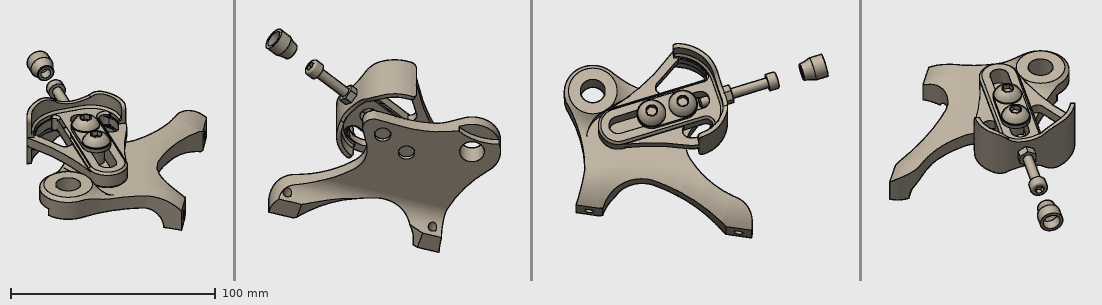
import cadquery as cq
import math


slide_half = 4.5
web_half = 2.5
washer_thickness = 2.0
screw_pitch = 16.0
screw_places = [(0, 0), (screw_pitch, 0)]
washer_top = slide_half + washer_thickness

rail_half_width = 9.75
rail_end_x = 33.2
rail_chamfer = 1.2
slot_width = 9.0
slot_start_x = -9.0
wall_x = -21.0
wall_thickness = 2.2
wall_foot = rail_chamfer
wall_foot_bevel = 0.98 * wall_foot
opening_margin = 4.0
wall_height = 28.0
wall_tip_round = 3.0
upper_arc_radius = 17.65
upper_arc_center = (wall_x + upper_arc_radius, 3.7)
upper_tip_angle = 84.0
upper_web_angle = 63.7
lower_arc_radius = 22.0
lower_arc_center = (wall_x + lower_arc_radius, -7.5)
lower_tip_angle = 256.0

adjuster_diameter = 5.0
adjuster_head_diameter = 8.5
adjuster_head_height = 5.0
adjuster_head_round = 1.2
adjuster_length = 35.0
adjuster_tip_x = -8.6
adjuster_tip_chamfer = 0.7
adjuster_hex = 4.0
adjuster_hex_depth = 2.5
adjuster_seat_x = adjuster_tip_x - adjuster_length
nut_hex = 8.0
nut_thickness = 4.0

cap_start_x = -73.0
cap_length = 12.0
cap_diameter = 11.4
cap_straight = 6.2
cap_end_diameter = 8.5
cap_end_chamfer = 0.4
cap_bore_depth = 5.5
cap_cone_end = 6.8
cap_exit_diameter = 5.03

screw_diameter = 8.0
screw_length = 16.0
screw_head_diameter = 13.7
screw_head_height = 4.4
screw_head_rim = 0.6
screw_head_flat_radius = 2.9
screw_hex = 5.0
screw_hex_depth = 2.6
screw_hex_turns = (30, 0)
washer_width = 14.3
washer_hole = 8.3

bracket_top = -slide_half
plate_thickness = 7.0
bracket_bottom = bracket_top - plate_thickness
foot_bottom = -21.87
tip_line_start = (-13.66, 67.0)
tip_line_end = (63.99, 27.9)
tip_line_length = math.dist(tip_line_start, tip_line_end)
bracket_reach = 130.0
arm_tip_top = -10.8
arm_slope_length = 17.4
arm_slope_sweep_radius = 105.0
arm_slope_sweep_reach = 22.8
foot_depth = 9.1
arm_face_width = 12.9
arch_half_span = 30.9
arch_middle = tip_line_length / 2 + 1.5
arch_top = -13.0
arm_hole_diameter = 4.22
arm_hole_z = -16.9
arm_hole_length = 20.0
eye_center = (39.05, -22.28)
eye_radius = 14.0
eye_hole = 12.12
eye_top = 0.0
eye_chamfer_height = 1.65
eye_chamfer_width = 2.1
eye_flare_radius = 22.3
notch_top = -7.8


def polar(center, radius, angle):
    """Point on a circle, angle in degrees."""
    a = math.radians(angle)
    return (center[0] + radius * math.cos(a), center[1] + radius * math.sin(a))


def arc(wire, center, radius, start, end):
    """Continue a wire along a circle from the start angle to the end angle."""
    return wire.threePointArc(polar(center, radius, (start + end) / 2), polar(center, radius, end))


def wall_face_path(wire, inset, upper_start, lower_end):
    """Follow the wall: upper arc, flat front, lower arc, moved inwards by the inset."""
    wire = arc(wire, upper_arc_center, upper_arc_radius - inset, upper_start, 180)
    wire = wire.lineTo(*polar(lower_arc_center, lower_arc_radius - inset, 180))
    return arc(wire, lower_arc_center, lower_arc_radius - inset, 180, lower_end)


def tangent_arc_drop(run, drop, distance):
    """Drop at a distance along an arc that starts level and falls by drop over run."""
    radius = (run**2 + drop**2) / (2 * drop)
    return radius - math.sqrt(radius**2 - distance**2)


def prism(wire, half_height):
    """Close a wire and extrude it both ways from the adjuster's level."""
    return wire.close().extrude(half_height, both=True)


def wall_band(thickness, half_height):
    """Curved strip of even thickness along the wall."""
    upper_inner = upper_arc_radius - thickness
    lower_inner = lower_arc_radius - thickness
    wire = cq.Workplane("XY").moveTo(*polar(upper_arc_center, upper_arc_radius, upper_tip_angle))
    wire = wall_face_path(wire, 0, upper_tip_angle, lower_tip_angle)
    wire = wire.lineTo(*polar(lower_arc_center, lower_inner, lower_tip_angle))
    wire = arc(wire, lower_arc_center, lower_inner, lower_tip_angle, 180)
    wire = wire.lineTo(*polar(upper_arc_center, upper_inner, 180))
    wire = arc(wire, upper_arc_center, upper_inner, 180, upper_tip_angle)
    return prism(wire, half_height)


def wall_side_profile():
    """Side shape of the wall in Y and Z: tall ends and a waist around the adjuster."""
    upper_height = 12.8
    lower_height = wall_height / 2
    margin = 5.0
    top_y = upper_arc_center[1] + upper_arc_radius + margin
    bottom_y = lower_arc_center[1] - lower_arc_radius - margin
    wire = (
        cq.Workplane("YZ").moveTo(top_y, 0).lineTo(top_y, upper_height).lineTo(14.5, upper_height)
        .threePointArc((11.2, 12.0), (8.5, 10.1))
        .threePointArc((0.5, 8.0), (-8.5, 10.1))
        .threePointArc((-12.6, 12.75), (-19.0, lower_height))
        .lineTo(bottom_y, lower_height).lineTo(bottom_y, 0)
    )
    upper_half = wire.close().extrude(wall_height, both=True)
    return upper_half.union(upper_half.mirror("XY"))


def make_wall():
    """Curved wall with rounded tips, bevelled where it meets the rail."""
    wall = wall_band(wall_thickness, wall_height / 2).intersect(wall_side_profile())
    reach = 0.5
    clear_of_rail = slide_half + reach
    for angle, center, radius in (
        (upper_tip_angle, upper_arc_center, upper_arc_radius),
        (lower_tip_angle, lower_arc_center, lower_arc_radius),
    ):
        x, y = polar(center, radius - wall_thickness / 2, angle)
        for low, high in ((clear_of_rail, wall_height), (-wall_height, -clear_of_rail)):
            corner = cq.selectors.BoxSelector((x - reach, y - reach, low), (x + reach, y + reach, high))
            wall = wall.edges(corner).fillet(wall_tip_round)
    foot = wall_band(wall_thickness + wall_foot, slide_half + wall_foot)
    foot = foot.faces("<Z or >Z").edges().chamfer(wall_foot_bevel)
    return wall.union(foot)


def make_rail():
    """Full-height rail, widened at the wall, with bevelled edges."""
    inset = 0.6
    upper_side = 113.0
    lower_side = 195.0
    end_radius = upper_arc_radius - inset
    wire = (
        cq.Workplane("XY").moveTo(rail_end_x, rail_half_width).lineTo(-8.4, rail_half_width)
        .threePointArc((-11.1, 13.0), (-10.0, 15.7))
        .lineTo(*polar(upper_arc_center, end_radius, upper_side))
    )
    wire = wall_face_path(wire, inset, upper_side, lower_side)
    wire = (
        wire.lineTo(-15.9, -12.2)
        .threePointArc((-15.4, -10.6), (-14.0, -rail_half_width))
        .lineTo(rail_end_x, -rail_half_width)
        .threePointArc((rail_end_x + rail_half_width, 0), (rail_end_x, rail_half_width))
    )
    return prism(wire, slide_half).faces("<Z or >Z").edges().chamfer(rail_chamfer)


def make_web():
    """Thin web from the rail to both ends of the wall, with an opening on each side."""
    web_end = polar((rail_end_x, 0), rail_half_width, -75)
    wire = cq.Workplane("XY").moveTo(*polar(upper_arc_center, upper_arc_radius, upper_web_angle))
    wire = wall_face_path(wire, 0, upper_web_angle, lower_tip_angle)
    wire = (
        wire.lineTo(8.0, -20.6)
        .threePointArc((21.0, -14.3), web_end)
        .lineTo(rail_end_x, rail_half_width)
        .threePointArc((18.0, 13.9), polar(upper_arc_center, upper_arc_radius, upper_web_angle))
    )
    web = prism(wire, web_half)

    upper_radius = upper_arc_radius - opening_margin
    upper_right = 66.0
    upper_left = 120.0
    upper = cq.Workplane("XY").moveTo(-8.4, rail_half_width).lineTo(2.5, rail_half_width)
    upper = upper.threePointArc((4.1, 12.8), polar(upper_arc_center, upper_radius, upper_right))
    upper = arc(upper, upper_arc_center, upper_radius, upper_right, upper_left)
    upper = upper.threePointArc((-11.1, 13.0), (-8.4, rail_half_width))

    lower_radius = lower_arc_radius - opening_margin
    lower_left = 190.0
    lower_right = 248.5
    lower = cq.Workplane("XY").moveTo(7.9, -rail_half_width).lineTo(-14.0, -rail_half_width)
    lower = lower.lineTo(*polar(lower_arc_center, lower_radius, lower_left))
    lower = arc(lower, lower_arc_center, lower_radius, lower_left, lower_right)
    lower = lower.lineTo(8.4, -15.4).threePointArc((9.7, -12.8), (7.9, -rail_half_width))

    return web.cut(prism(upper, wall_height)).cut(prism(lower, wall_height))


def make_slide():
    """Slide with its wall, the slot for the clamp screws and the bore for the adjuster."""
    slot_length = rail_end_x - slot_start_x + slot_width
    slot = (
        cq.Workplane("XY").center((rail_end_x + slot_start_x) / 2, 0)
        .slot2D(slot_length, slot_width).extrude(slide_half, both=True)
    )
    bore = (
        cq.Workplane("YZ", origin=(wall_x, 0, 0)).circle(adjuster_diameter / 2)
        .extrude(slot_start_x - wall_x)
    )
    return make_web().union(make_rail()).union(make_wall()).cut(slot).cut(bore)


def make_bracket_outline():
    """Plan shape of the bracket, eye included, extruded over its full height."""
    tip_dx = tip_line_end[0] - tip_line_start[0]
    tip_dy = tip_line_end[1] - tip_line_start[1]

    def on_tip_line(x):
        return (x, tip_line_start[1] + (x - tip_line_start[0]) * tip_dy / tip_dx)

    wire = (
        cq.Workplane("XY", origin=(0, 0, foot_bottom)).moveTo(*tip_line_start)
        .lineTo(*on_tip_line(-2.3))
        .threePointArc((10.5, 42.6), (25.1, 29.1))
        .threePointArc((36.5, 25.8), on_tip_line(52.2))
        .lineTo(*tip_line_end)
        .threePointArc((58.6, 20.4), (54.6, 13.0))
        .threePointArc((51.6, -3.0), polar(eye_center, eye_radius, 9))
        .threePointArc(polar(eye_center, eye_radius, -70), polar(eye_center, eye_radius, 222))
        .threePointArc((15.5, -17.2), (2.8, -9.8))
        .lineTo(-8.2, -4.9)
        .threePointArc((-11.4, -0.2), (-9.5, 4.15))
        .lineTo(-1.2, 10.1)
        .threePointArc((2.9, 14.9), (3.7, 25.9))
        .threePointArc((-2.1, 39.6), (-10.9, 50.2))
        .threePointArc((-15.6, 59.0), tip_line_start)
    )
    return wire.close().extrude(eye_top - foot_bottom)


def end_plane(offset, z=0):
    """Upright plane at an offset along the end line; its X runs from the arm ends into the bracket."""
    dx = tip_line_end[0] - tip_line_start[0]
    dy = tip_line_end[1] - tip_line_start[1]
    share = offset / tip_line_length
    origin = (tip_line_start[0] + share * dx, tip_line_start[1] + share * dy, z)
    return cq.Plane(origin=origin, xDir=(dy, -dx, 0), normal=(-dx, -dy, 0))


def slope(wire, upper_end):
    """Rounded slope from the flat top down to the height of the arm ends."""
    drop = bracket_top - arm_tip_top
    half_run = arm_slope_length / 2
    half_drop = tangent_arc_drop(arm_slope_length, drop, half_run)
    return wire.lineTo(upper_end, bracket_top).threePointArc(
        (upper_end - half_run, bracket_top - half_drop),
        (upper_end - arm_slope_length, arm_tip_top),
    )


def make_arm_profile():
    """Plate that slopes down over both arms into feet, extruded along the end faces."""
    hollow_radius = bracket_bottom - foot_bottom
    hollow_end = foot_depth + hollow_radius
    diagonal = hollow_radius * math.sqrt(0.5)
    wire = (
        cq.Workplane(end_plane(0)).moveTo(0, foot_bottom).lineTo(foot_depth, foot_bottom)
        .threePointArc((hollow_end - diagonal, foot_bottom + diagonal), (hollow_end, bracket_bottom))
        .lineTo(bracket_reach, bracket_bottom).lineTo(bracket_reach, bracket_top)
    )
    return slope(wire, arm_slope_length).close().extrude(bracket_reach, both=True)


def make_swept_slope():
    """The same slope turned about an upright axis, for the edge between the arms."""
    axis = arm_slope_sweep_reach - arm_slope_sweep_radius
    wire = (
        cq.Workplane(end_plane(arch_middle)).moveTo(axis, foot_bottom)
        .lineTo(bracket_reach, foot_bottom).lineTo(bracket_reach, bracket_top)
    )
    wire = slope(wire, arm_slope_sweep_reach).lineTo(axis, arm_tip_top).close()
    return wire.revolve(360, (axis, 0, 0), (axis, 1, 0))


def make_foot_arch():
    """Arched space between the two feet, running square to the end faces."""
    middle = end_plane(arch_middle)
    across = cq.Plane(origin=middle.origin, xDir=middle.zDir, normal=-middle.xDir)
    wire = cq.Workplane(across).moveTo(-arch_half_span, foot_bottom)
    wire = wire.threePointArc((0, arch_top), (arch_half_span, foot_bottom)).close()
    return wire.extrude(bracket_reach, both=True)


def make_eye():
    """Raised eye with a bevelled rim and a concave flare down to the plate."""
    x, y = eye_center
    axis = cq.Workplane("XZ", origin=(x, y, 0))
    rim_bottom = eye_top - eye_chamfer_height
    rim = (
        axis.moveTo(0, bracket_bottom).lineTo(eye_radius, bracket_bottom)
        .lineTo(eye_radius, rim_bottom)
        .lineTo(eye_radius - eye_chamfer_width, eye_top).lineTo(0, eye_top)
        .close().revolve(360, (0, 0, 0), (0, 1, 0))
    )
    flare_run = eye_flare_radius - eye_radius
    half_rise = tangent_arc_drop(flare_run, rim_bottom - bracket_top, flare_run / 2)
    flare = (
        axis.moveTo(0, bracket_bottom).lineTo(eye_flare_radius, bracket_bottom)
        .lineTo(eye_flare_radius, bracket_top)
        .threePointArc((eye_radius + flare_run / 2, bracket_top + half_rise), (eye_radius, rim_bottom))
        .lineTo(0, rim_bottom).close().revolve(360, (0, 0, 0), (0, 1, 0))
    )
    return rim.union(flare.intersect(make_bracket_outline()))


def make_slide_clearance():
    """Space above the plate in which the slide's rail and web lie."""
    wire = (
        cq.Workplane("XY", origin=(0, 0, bracket_top)).moveTo(13.0, -18.5)
        .threePointArc((26.1, -14.1), (38.2, -10.25))
        .threePointArc((44.6, -7.6), (48.5, -2.8))
        .lineTo(48.5, 20.0).lineTo(13.0, 20.0)
    )
    return wire.close().extrude(eye_top - bracket_top)


def make_notch():
    """Hollow cut into the eye's lower rim on the outer side."""
    wire = (
        cq.Workplane("XY", origin=(0, 0, bracket_bottom)).moveTo(45.5, -34.6)
        .threePointArc((36.5, -29.0), (25.9, -27.0))
        .lineTo(22.0, -40.0).lineTo(45.5, -40.0)
    )
    return wire.close().extrude(notch_top - bracket_bottom)


def make_bracket():
    """Bracket with two arms ending in feet, an eye, and bores for the clamp screws."""
    bracket = make_bracket_outline().intersect(make_arm_profile()).intersect(make_swept_slope())
    bracket = bracket.cut(make_foot_arch())
    bracket = bracket.union(make_eye().cut(make_slide_clearance())).cut(make_notch())
    eye_bore = (
        cq.Workplane("XY", origin=(*eye_center, bracket_bottom)).circle(eye_hole / 2)
        .extrude(eye_top - bracket_bottom)
    )
    screw_bores = (
        cq.Workplane("XY", origin=(0, 0, bracket_bottom)).pushPoints(screw_places)
        .circle(screw_diameter / 2).extrude(plate_thickness)
    )
    for offset in (arm_face_width / 2, tip_line_length - arm_face_width / 2):
        face = end_plane(offset, arm_hole_z)
        into_arm = cq.Plane(origin=face.origin, xDir=face.zDir, normal=face.xDir)
        hole = cq.Workplane(into_arm).circle(arm_hole_diameter / 2).extrude(arm_hole_length)
        bracket = bracket.cut(hole)
    return bracket.cut(eye_bore).cut(screw_bores)


def make_washer():
    """Oblong washer shared by both clamp screws."""
    return (
        cq.Workplane("XY", origin=(0, 0, slide_half)).center(screw_pitch / 2, 0)
        .slot2D(screw_pitch + washer_width, washer_width)
        .pushPoints([(-screw_pitch / 2, 0), (screw_pitch / 2, 0)]).circle(washer_hole / 2)
        .extrude(washer_thickness)
    )


def make_clamp_screw(place, hex_turn):
    """Button-head screw; the hex socket is turned about the screw axis."""
    head_radius = screw_head_diameter / 2
    profile = (
        cq.Workplane("XZ").moveTo(0, -screw_length).lineTo(screw_diameter / 2, -screw_length)
        .lineTo(screw_diameter / 2, 0).lineTo(head_radius, 0).lineTo(head_radius, screw_head_rim)
        .threePointArc((5.3, 2.9), (screw_head_flat_radius, screw_head_height))
        .lineTo(0, screw_head_height).close()
    )
    screw = profile.revolve(360, (0, 0, 0), (0, 1, 0))
    socket = (
        cq.Workplane("XY", origin=(0, 0, screw_head_height - screw_hex_depth))
        .polygon(6, screw_hex, circumscribed=True).extrude(screw_hex_depth)
        .rotate((0, 0, 0), (0, 0, 1), hex_turn)
    )
    return screw.cut(socket).translate((*place, washer_top))


def make_adjuster():
    """Socket-head screw along X, head towards -X."""
    head = (
        cq.Workplane("YZ", origin=(adjuster_seat_x, 0, 0)).circle(adjuster_head_diameter / 2)
        .extrude(-adjuster_head_height).faces("<X").edges().fillet(adjuster_head_round)
    )
    shank = (
        cq.Workplane("YZ", origin=(adjuster_seat_x, 0, 0)).circle(adjuster_diameter / 2)
        .extrude(adjuster_length).faces(">X").edges().chamfer(adjuster_tip_chamfer)
    )
    socket = (
        cq.Workplane("YZ", origin=(adjuster_seat_x - adjuster_head_height, 0, 0))
        .polygon(6, adjuster_hex, circumscribed=True).extrude(adjuster_hex_depth)
        .rotate((0, 0, 0), (1, 0, 0), 30)
    )
    return head.union(shank).cut(socket)


def make_nut():
    """Hexagonal lock nut against the wall."""
    nut = (
        cq.Workplane("YZ", origin=(wall_x, 0, 0)).polygon(6, nut_hex, circumscribed=True)
        .extrude(-nut_thickness)
    )
    bore = cq.Workplane("YZ", origin=(wall_x, 0, 0)).circle(adjuster_diameter / 2).extrude(-nut_thickness)
    return nut.cut(bore)


def make_cap():
    """Turned cap: straight bore for the adjuster head, cone seat and exit hole."""
    outer = cap_diameter / 2
    end = cap_end_diameter / 2
    bore = adjuster_head_diameter / 2
    exit_radius = cap_exit_diameter / 2
    profile = (
        cq.Workplane("XY").moveTo(0, bore).lineTo(0, outer).lineTo(cap_straight, outer)
        .threePointArc((8.6, 4.8), (cap_length - cap_end_chamfer, end))
        .lineTo(cap_length, end - cap_end_chamfer).lineTo(cap_length, exit_radius)
        .lineTo(cap_cone_end, exit_radius).lineTo(cap_bore_depth, bore).close()
    )
    return profile.revolve(360, (0, 0, 0), (1, 0, 0)).translate((cap_start_x, 0, 0))


bracket = make_bracket()
slide = make_slide()
washer = make_washer()
clamp_screws = [make_clamp_screw(place, turn) for place, turn in zip(screw_places, screw_hex_turns)]
adjuster = make_adjuster()
nut = make_nut()
cap = make_cap()

result = cq.Compound.makeCompound([
    bracket.val(),
    slide.val(),
    washer.val(),
    *[screw.val() for screw in clamp_screws],
    adjuster.val(),
    nut.val(),
    cap.val(),
])